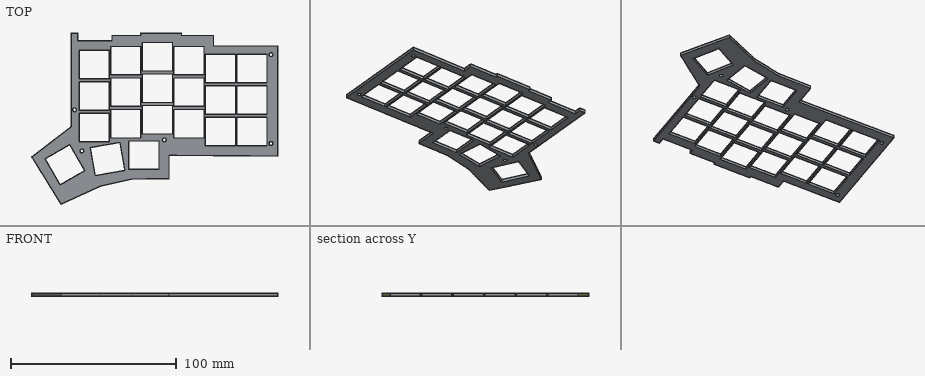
import cadquery as cq

PLATE_WIDTH = 148.28
PLATE_DEPTH = 103.13
PLATE_THICKNESS = 2.0

KEY_PITCH = 19.0
OPENING_WIDTH = 18.0
OPENING_HEIGHT = 17.0
ROW_COUNT = 3

FIRST_KEY_X = 37.7
FIRST_KEY_Y = 84.23
STAGGER = 2.375
COLUMN_SHIFTS = [0, STAGGER, 2 * STAGGER, STAGGER, -STAGGER, -STAGGER]

THUMB_KEYS = [
    (67.6, 29.65, 0),
    (45.7, 27.3, 10),
    (20.0, 23.85, -60),
]

SCREW_DIAMETER = 2.2
SCREW_CENTRES = [
    (25.8, 56.9),
    (144.2, 90.2),
    (144.2, 36.65),
    (30.25, 32.15),
    (79.9, 38.85),
]

LEFT_EDGE_X = 23.75
TAB_RIGHT_X = 27.8
NOTCH_RIGHT_X = 48.3
CREST_LEFT_X = 65.7
CREST_RIGHT_X = 90.4
SHOULDER_RIGHT_X = 109.6
INNER_CORNER_X = 82.8

NOTCH_Y = 98.7
SHOULDER_Y = 101.8
OUTER_COLUMNS_Y = 95.5

OUTLINE = [
    (LEFT_EDGE_X, PLATE_DEPTH),
    (TAB_RIGHT_X, PLATE_DEPTH),
    (TAB_RIGHT_X, NOTCH_Y),
    (NOTCH_RIGHT_X, NOTCH_Y),
    (NOTCH_RIGHT_X, SHOULDER_Y),
    (CREST_LEFT_X, SHOULDER_Y),
    (CREST_LEFT_X, PLATE_DEPTH),
    (CREST_RIGHT_X, PLATE_DEPTH),
    (CREST_RIGHT_X, SHOULDER_Y),
    (SHOULDER_RIGHT_X, SHOULDER_Y),
    (SHOULDER_RIGHT_X, OUTER_COLUMNS_Y),
    (PLATE_WIDTH, OUTER_COLUMNS_Y),
    (PLATE_WIDTH, 29.0),
    (INNER_CORNER_X, 29.45),
    (INNER_CORNER_X, 15.35),
    (60.7, 15.2),
    (41.6, 10.95),
    (17.65, 0),
    (0, 28.55),
    (LEFT_EDGE_X, 46.8),
]


def make_plate():
    return cq.Workplane("XY").polyline(OUTLINE).close().extrude(PLATE_THICKNESS)


def switch_opening(x, y, angle=0):
    """Through cutter for one switch, turned about its own centre."""
    cutter = cq.Workplane("XY").rect(OPENING_WIDTH, OPENING_HEIGHT).extrude(PLATE_THICKNESS)
    return cutter.rotate((0, 0, 0), (0, 0, 1), angle).translate((x, y, 0))


def cut_main_keys(plate):
    for column, shift in enumerate(COLUMN_SHIFTS):
        for row in range(ROW_COUNT):
            x = FIRST_KEY_X + column * KEY_PITCH
            y = FIRST_KEY_Y + shift - row * KEY_PITCH
            plate = plate.cut(switch_opening(x, y))
    return plate


def cut_thumb_keys(plate):
    for x, y, angle in THUMB_KEYS:
        plate = plate.cut(switch_opening(x, y, angle))
    return plate


def cut_screw_holes(plate):
    centres = cq.Workplane("XY").pushPoints(SCREW_CENTRES)
    holes = centres.circle(SCREW_DIAMETER / 2).extrude(PLATE_THICKNESS)
    return plate.cut(holes)


plate = make_plate()
plate = cut_main_keys(plate)
plate = cut_thumb_keys(plate)
result = cut_screw_holes(plate)